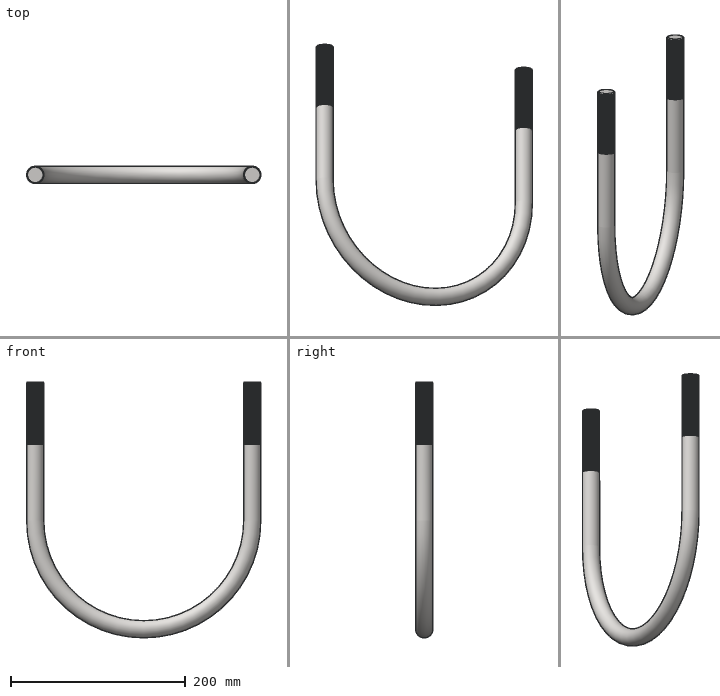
import cadquery as cq

overall_height = 293.0
overall_width = 268.0
rod_diameter = 20.0

groove_count = 71
thread_pitch = 1.0
thread_depth = 1.2
crest_width = 0.3

rod_radius = rod_diameter / 2
root_radius = rod_radius - thread_depth
groove_half_width = (thread_pitch - crest_width) / 2
end_chamfer = thread_depth
grooved_length = groove_count * thread_pitch
thread_length = grooved_length + end_chamfer

bend_radius = (overall_width - rod_diameter) / 2
leg_top_z = overall_height / 2
bend_center_z = bend_radius + rod_radius - leg_top_z
thread_start_z = leg_top_z - thread_length
shank_length = thread_start_z - bend_center_z


def leg():
    """Straight leg on the Z axis: plain shank below Z = 0, thread and end chamfer above it."""
    outline = (
        cq.Workplane("XZ")
        .moveTo(0, -shank_length)
        .lineTo(rod_radius, -shank_length)
        .lineTo(rod_radius, 0)
    )
    for groove in range(groove_count):
        groove_start_z = groove * thread_pitch
        outline = (
            outline
            .lineTo(root_radius, groove_start_z + groove_half_width)
            .lineTo(rod_radius, groove_start_z + 2 * groove_half_width)
            .lineTo(rod_radius, groove_start_z + thread_pitch)
        )
    outline = outline.lineTo(root_radius, thread_length).lineTo(0, thread_length).close()
    return outline.revolve(360, (0, 0, 0), (0, 1, 0))


def bend():
    """Half-circle bend that joins the lower ends of the two legs."""
    path = (
        cq.Workplane("XZ")
        .moveTo(-bend_radius, bend_center_z)
        .threePointArc((0, bend_center_z - bend_radius), (bend_radius, bend_center_z))
    )
    section = cq.Workplane("XY", origin=(-bend_radius, 0, bend_center_z)).circle(rod_radius)
    return section.sweep(path)


threaded_leg = leg()
result = bend()
for leg_x in (-bend_radius, bend_radius):
    result = result.union(threaded_leg.translate((leg_x, 0, thread_start_z)))